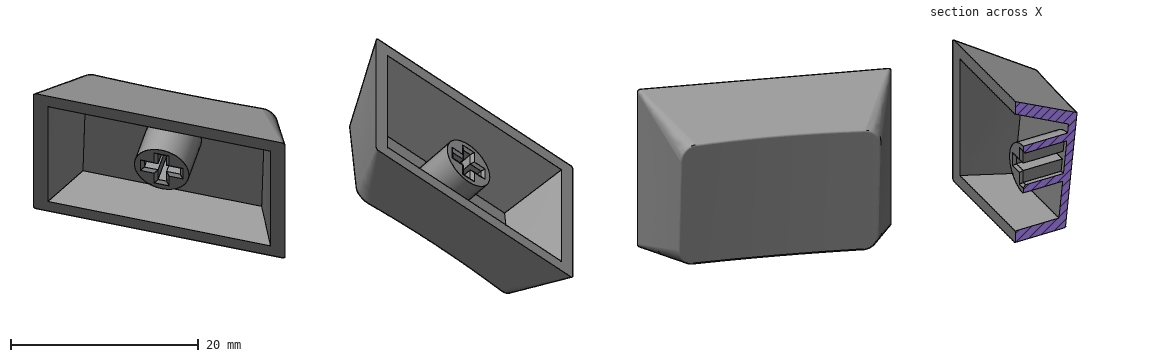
import cadquery as cq
import math

length = 27.8
height = 18.0
rim_radius = 0.33
lower_z = -height / 2

tilt_slope = 0.1
top_length = 21.85
top_upper_z = 5.03
top_upper_y = 7.95
top_radius = 1.8
dish_sag = 0.42
top_edge_fillet = 0.2

mouth_length = 24.58
mouth_upper_z = 7.35
mouth_lower_z = -7.48
floor_length = 19.75
floor_upper_z = 4.05
floor_upper_y = 6.45

post_diameter = 6.0
post_face_y = 0.97
cross_span = 3.98
cross_width = 0.95
cross_chamfer_inset = 0.348
cross_chamfer_depth = 0.28


def tilted_plane(upper_y, upper_z, bottom_z):
    """Plane parallel to the key top, centred between two heights; upper_y is its depth at upper_z."""
    middle_z = (upper_z + bottom_z) / 2
    middle_y = upper_y - tilt_slope * (upper_z - middle_z)
    return cq.Plane(origin=(0, middle_y, middle_z), xDir=(1, 0, 0), normal=(0, -1, tilt_slope))


def slope_length(upper_z, bottom_z):
    """Length along the tilted plane between two heights."""
    return (upper_z - bottom_z) * math.hypot(1, tilt_slope)


def rectangle_wire(plane, width, depth, radius=0):
    """Rectangle centred on a plane, with its corners optionally rounded."""
    sketch = cq.Sketch().rect(width, depth)
    if radius:
        sketch = sketch.vertices().fillet(radius)
    return sketch.reset().faces().val().outerWire().moved(plane.location)


def rim_plane(y, z=0):
    return cq.Plane(origin=(0, y, z), xDir=(1, 0, 0), normal=(0, -1, 0))


def make_body():
    """Solid key with twisted sides, a cylindrical dish in the top and a softened top edge."""
    top_plane = tilted_plane(top_upper_y, top_upper_z, lower_z)
    rim = rectangle_wire(rim_plane(0), length, height, rim_radius)
    top = rectangle_wire(top_plane, top_length, slope_length(top_upper_z, lower_z), top_radius)
    body = cq.Workplane(cq.Solid.makeLoft([rim, top], True))

    dish_radius = ((top_length / 2) ** 2 + dish_sag**2) / (2 * dish_sag)
    dish_plane = cq.Plane(origin=top_plane.origin, xDir=(1, 0, 0), normal=top_plane.yDir)
    dish = cq.Workplane(dish_plane).center(0, dish_radius - dish_sag).circle(dish_radius)
    body = body.cut(dish.extrude(height, both=True))
    return body.faces("%CYLINDER").edges().fillet(top_edge_fillet)


def make_cavity():
    mouth_plane = rim_plane(0, (mouth_upper_z + mouth_lower_z) / 2)
    floor_plane = tilted_plane(floor_upper_y, floor_upper_z, mouth_lower_z)
    mouth = rectangle_wire(mouth_plane, mouth_length, mouth_upper_z - mouth_lower_z)
    floor = rectangle_wire(floor_plane, floor_length, slope_length(floor_upper_z, mouth_lower_z))
    return cq.Workplane(cq.Solid.makeLoft([mouth, floor], True))


def below_floor():
    """Block on the rim side of the cavity floor, used to end features on that floor."""
    floor_plane = tilted_plane(floor_upper_y, floor_upper_z, mouth_lower_z)
    return cq.Workplane(floor_plane).rect(length, length).extrude(length)


def make_post():
    """Round post running from its flat face down to the cavity floor."""
    post = cq.Workplane(rim_plane(post_face_y)).circle(post_diameter / 2).extrude(-top_upper_y)
    return post.intersect(below_floor())


def cross_arm(width, depth):
    """Straight slot through the post with a chamfered mouth."""
    slot = cq.Workplane(rim_plane(post_face_y)).rect(width, depth).extrude(-top_upper_y)
    flare = 2 * cross_chamfer_inset
    outer = rectangle_wire(rim_plane(post_face_y), width + flare, depth + flare)
    inner = rectangle_wire(rim_plane(post_face_y + cross_chamfer_depth), width, depth)
    return slot.union(cq.Workplane(cq.Solid.makeLoft([outer, inner], True)))


def make_socket():
    """Cross-shaped socket that ends on the cavity floor."""
    cross = cross_arm(cross_span, cross_width).union(cross_arm(cross_width, cross_span))
    return cross.intersect(below_floor())


post = make_post().cut(make_socket())
result = make_body().cut(make_cavity().cut(post))